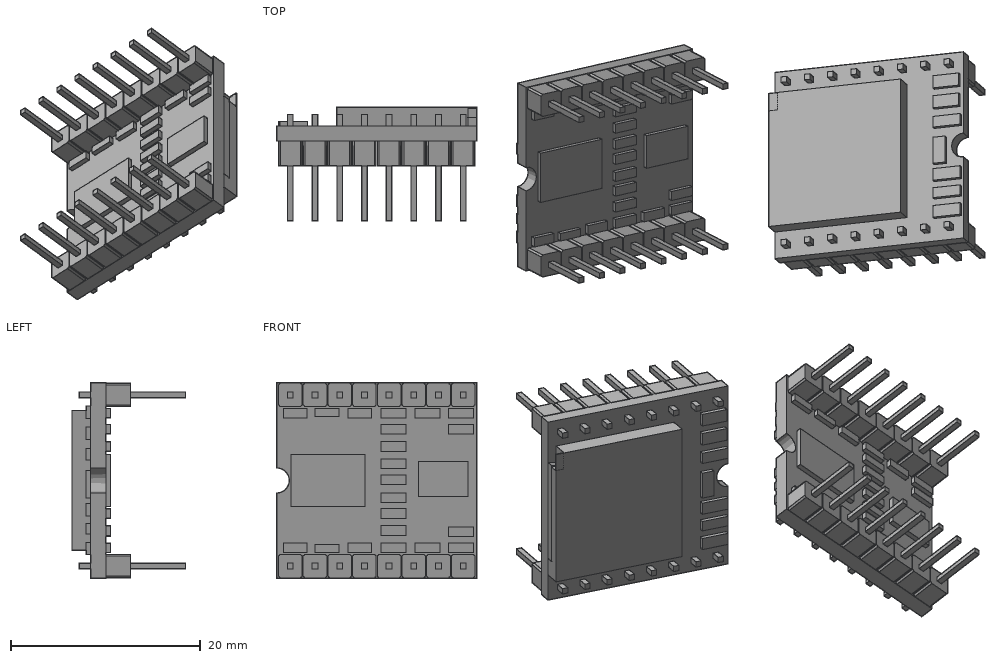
import cadquery as cq


BOARD_WIDTH = 21.1
BOARD_HEIGHT = 20.65
BOARD_THICKNESS = 1.6
RIGHT_EDGE = BOARD_WIDTH / 2
NOTCH_RADIUS = 1.3

PINS_PER_ROW = 8
PIN_SPAN = 18.23
PIN_PITCH = PIN_SPAN / (PINS_PER_ROW - 1)
ROW_HEIGHT = 9.03
BLOCK_SIZE = 2.5
BLOCK_DEPTH = 2.62
BLOCK_CHAMFER = 0.2
PIN_SIZE = 0.61
PIN_TIP = 8.42
PIN_TAIL = 1.2

FRONT_HEIGHT = 0.5
BIG_CHIP = (-5.15, 0.0, 7.79, 5.53)
SMALL_CHIP = (7.0, 0.17, 5.23, 3.67)
RESISTOR_HEIGHT = 1.01
THIN_RESISTOR_HEIGHT = 0.85
SHORT_RESISTOR = 2.47
MEDIUM_RESISTOR = 2.55
LONG_RESISTOR = 2.64
RESISTOR_EDGE = 7.62
INNER_PAIR_Z = 5.42
COLUMN_X = 1.77
RIGHT_X = 8.86
HEADER_RESISTORS = [
    (-8.59, SHORT_RESISTOR, RESISTOR_HEIGHT),
    (-5.23, MEDIUM_RESISTOR, THIN_RESISTOR_HEIGHT),
    (-1.77, SHORT_RESISTOR, RESISTOR_HEIGHT),
    (COLUMN_X, LONG_RESISTOR, RESISTOR_HEIGHT),
    (5.35, LONG_RESISTOR, RESISTOR_HEIGHT),
    (RIGHT_X, LONG_RESISTOR, RESISTOR_HEIGHT),
]
COLUMN_RESISTORS_Z = [INNER_PAIR_Z, 3.59, 1.77, 0.08, -1.84, -3.48, -5.28]

BACK_HEIGHT = 0.49
BACK_RIGHT = -7.3
BACK_LEFT = -10.34
BACK_LEFT_INSET = -10.2
BACK_CHIP_LEFT = -8.65
BACK_PARTS = [
    (BACK_LEFT_INSET, 7.2, 1.35),
    (BACK_LEFT_INSET, 4.98, 1.35),
    (BACK_LEFT, 2.76, 1.18),
    (BACK_CHIP_LEFT, -0.4, 2.9),
    (BACK_LEFT, -3.08, 1.29),
    (BACK_LEFT, -5.1, 1.1),
    (BACK_LEFT, -7.17, 1.29),
]

SOCKET_SIZE = 14.77
SOCKET_DEPTH = 1.98
SOCKET_COVER = 0.13
CORNER_CUT_WIDTH = 0.95
CARD_WIDTH = 10.97
CARD_LENGTH = 13.72
CARD_THICKNESS = 0.87
CARD_FLARE = 0.2


def box(x_min, x_max, y_min, y_max, z_min, z_max):
    """Box between two limits on each axis."""
    size = (x_max - x_min, y_max - y_min, z_max - z_min)
    return cq.Workplane("XY").box(*size, centered=False).translate((x_min, y_min, z_min))


def face_part(center_x, center_z, width, height, y_min, y_max):
    """Rectangular block centred on a point of the board."""
    return box(
        center_x - width / 2,
        center_x + width / 2,
        y_min,
        y_max,
        center_z - height / 2,
        center_z + height / 2,
    )


def make_bare_board():
    """Board with a half-round notch in its left edge."""
    board = face_part(0, 0, BOARD_WIDTH, BOARD_HEIGHT, 0, BOARD_THICKNESS)
    notch = (
        cq.Workplane("XZ")
        .center(-BOARD_WIDTH / 2, 0)
        .circle(NOTCH_RADIUS)
        .extrude(-BOARD_THICKNESS)
    )
    return board.cut(notch)


def make_header_pin(x, z):
    """One chamfered header block with its square pin, which passes through the board."""
    block = face_part(x, z, BLOCK_SIZE, BLOCK_SIZE, -BLOCK_DEPTH, 0).edges("|Y").chamfer(BLOCK_CHAMFER)
    pin = face_part(x, z, PIN_SIZE, PIN_SIZE, -PIN_TIP, BOARD_THICKNESS + PIN_TAIL)
    return block.union(pin)


def make_headers():
    """Header blocks and pins of both rows."""
    return [
        make_header_pin(-PIN_SPAN / 2 + i * PIN_PITCH, row_z)
        for row_z in (-ROW_HEIGHT, ROW_HEIGHT)
        for i in range(PINS_PER_ROW)
    ]


def make_front_parts():
    """Two chips, the resistors along the headers, the middle column and the right pair."""
    outlines = [BIG_CHIP, SMALL_CHIP]
    for x, length, height in HEADER_RESISTORS:
        z = RESISTOR_EDGE - height / 2
        outlines += [(x, z, length, height), (x, -z, length, height)]
    for z in COLUMN_RESISTORS_Z:
        outlines.append((COLUMN_X, z, LONG_RESISTOR, RESISTOR_HEIGHT))
    for z in (-INNER_PAIR_Z, INNER_PAIR_Z):
        outlines.append((RIGHT_X, z, LONG_RESISTOR, RESISTOR_HEIGHT))
    return [face_part(*outline, -FRONT_HEIGHT, 0) for outline in outlines]


def make_back_parts():
    """Column of parts beside the left edge of the back face."""
    back_top = BOARD_THICKNESS + BACK_HEIGHT
    return [
        box(left, BACK_RIGHT, BOARD_THICKNESS, back_top, z - height / 2, z + height / 2)
        for left, z, height in BACK_PARTS
    ]


def make_board():
    """Board with everything soldered to it."""
    board = make_bare_board()
    for part in make_headers() + make_front_parts() + make_back_parts():
        board = board.union(part)
    return board


def make_card():
    """Card lying on the board, its top edge flaring out at the right end."""
    half_width = CARD_WIDTH / 2
    left = RIGHT_EDGE - CARD_LENGTH
    outline = [
        (left, -half_width),
        (RIGHT_EDGE, -half_width),
        (RIGHT_EDGE, half_width + CARD_FLARE),
        (RIGHT_EDGE - CORNER_CUT_WIDTH, half_width),
        (left, half_width),
    ]
    card = cq.Workplane("XZ").polyline(outline).close().extrude(-CARD_THICKNESS)
    return card.translate((0, BOARD_THICKNESS, 0))


def make_socket(card):
    """Socket flush with the board's right edge, with a corner cut and a pocket for the card."""
    half_size = SOCKET_SIZE / 2
    back = BOARD_THICKNESS + SOCKET_DEPTH
    socket = box(RIGHT_EDGE - SOCKET_SIZE, RIGHT_EDGE, BOARD_THICKNESS, back, -half_size, half_size)
    corner_cut = box(
        RIGHT_EDGE - CORNER_CUT_WIDTH,
        RIGHT_EDGE,
        BOARD_THICKNESS,
        back - SOCKET_COVER,
        CARD_WIDTH / 2,
        half_size,
    )
    return socket.cut(corner_cut).cut(card)


board = make_board()
card = make_card()
socket = make_socket(card)

result = cq.Compound.makeCompound([board.solids().val(), socket.solids().val(), card.val()])